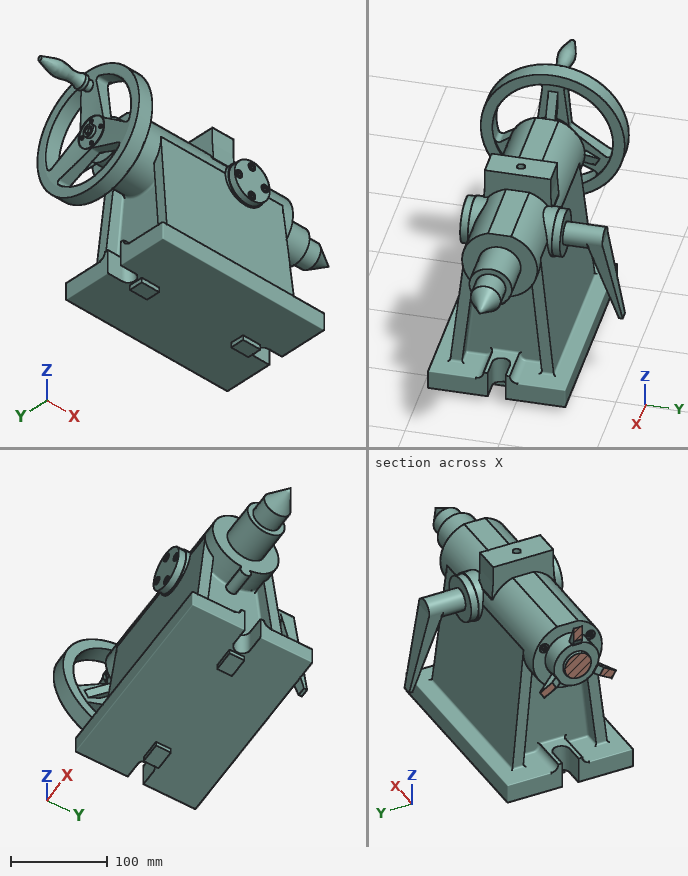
import cadquery as cq
import math


BASE_LENGTH = 230.0
BASE_WIDTH = 146.0
BASE_HEIGHT = 22.0
BASE_EDGE_RADIUS = 1.0
RIB_HEIGHT = 8.0
RIB_TOP_WIDTH = 28.0
SLOT_WIDTH = 19.0
SLOT_CENTER_INSET = 20.0
TONGUE_LENGTH = 24.5
TONGUE_WIDTH = 18.0
TONGUE_HEIGHT = 6.0
TONGUE_OFFSET = 72.0

COLUMN_TOP_Z = 164.0
COLUMN_FOOT_LENGTH = 182.0
COLUMN_TOP_LENGTH = 173.0
COLUMN_FOOT_WIDTH = 110.0
COLUMN_TOP_WIDTH = 79.7
FOOT_FILLET = 2.4
WALL_THICKNESS = 12.5
SELECTION_MARGIN = 0.1
WEB_HALF_LENGTH = 73.0

AXIS_Z = 160.0
BARREL_RADIUS = 40.0
BARREL_START_X = -108.5
BARREL_END_X = 101.5
BARREL_FLAT_WIDTH = 24.5
SCREW_BOSS_DIAMETER = 13.0
SCREW_BOSS_BOTTOM_Z = 110.0
SPINDLE_DIAMETER = 45.0
SPINDLE_END_X = 141.5
CENTER_DIAMETER = 32.0
CENTER_SHOULDER_X = 163.5
CENTER_TIP_X = 190.0

FLANGE_DIAMETER = 52.0
FLANGE_START_X = -128.5
FLANGE_SCREW_RADIUS = 31.0
FLANGE_SCREW_DIAMETER = 10.0
FLANGE_SCREW_ANGLES = (30, 150, 270)

BLOCK_CENTER_X = 6.5
BLOCK_LENGTH = 30.0
BLOCK_TOP_Z = 218.5
BLOCK_TAPER_Z = 198.0
BLOCK_BOTTOM_Z = 178.0
BLOCK_TOP_WIDTH = 70.0
BLOCK_BOTTOM_WIDTH = 73.0
BLOCK_HOLE_DIAMETER = 8.5
BLOCK_HOLE_DEPTH = 15.0
DRILL_TIP_RADIUS = 0.2

CROSS_X = 31.0
CROSS_BOSS_DIAMETER = 52.0
CROSS_BOSS_REACH = 44.5
CAP_DIAMETER = 50.0
CAP_REACH = 53.0
CAP_SCREW_DIAMETER = 9.08
CAP_SCREW_CIRCLE_RADIUS = 18.5
CAP_SCREW_ANGLES = (0, 90, 180, 270)
LEVER_SHAFT_DIAMETER = 24.5
LEVER_SHAFT_END_Y = 95.0
LEVER_TOP_THICKNESS = 17.0
LEVER_TIP_Y = 115.0
LEVER_TIP_Z = 65.0
LEVER_TIP_THICKNESS = 4.0
LEVER_TIP_WIDTH = 10.6

SCREW_SINK = 1.0
SOCKET_DEPTH = 3.0
SOCKET_RATIO = 0.6

WHEEL_RADIUS = 76.5
WHEEL_START_X = -152.0
WHEEL_END_X = -133.0
RIM_LIP_RADIUS = 64.0
RIM_INNER_RADIUS = 66.5
RIM_LIP_THICKNESS = 4.0
SPOKE_ANGLES = (90, 210, 330)
SPOKE_HUB_START_X = -147.0
SPOKE_END_X = -135.0
SPOKE_ROOT_HALF_WIDTH = 18.5
SPOKE_TIP_HALF_WIDTH = 10.5
SPOKE_CORNER_RADIUS = 4.0
BRACE_WIDTH = 10.0
BRACE_FOOT_END_X = -122.0
BRACE_FOOT_START_X = -129.5
BRACE_OUTER_RADIUS = 50.0
BRACE_INNER_RADIUS = 34.0
HUB_DISC_DIAMETER = 38.0
HUB_DISC_START_X = -148.0
HUB_DIAMETER = 31.0
HUB_PIN_HOLE_DIAMETER = 4.13
HUB_PIN_HOLE_RADIUS = 14.0
HUB_PIN_HOLE_ANGLES = (0, 90, 180, 270)
HUB_PIN_HOLE_DEPTH = 4.0
HUB_SCREW_DIAMETER = 14.73
HUB_SCREW_HEIGHT = 4.0
HUB_SOCKET_DIAMETER = 10.0

HANDLE_RADIUS = 57.6
HANDLE_TIP_X = -220.5
HANDLE_TIP_RADIUS = 2.8
HANDLE_TAPER_X = -210.0
HANDLE_TAPER_RADIUS = 6.0
HANDLE_BELLY_X = -194.0
HANDLE_BELLY_RADIUS = 9.2
HANDLE_NECK_X = -175.0
HANDLE_NECK_RADIUS = 6.5
HANDLE_COLLAR_START_X = -164.0
HANDLE_COLLAR_END_X = -159.5
HANDLE_COLLAR_RADIUS = 9.0


def cylinder_x(start_x, end_x, diameter, y=0.0, z=AXIS_Z):
    """Cylinder parallel to X between two X positions."""
    return (
        cq.Workplane("YZ", origin=(start_x, y, z))
        .circle(diameter / 2)
        .extrude(end_x - start_x)
    )


def cylinder_y(start_y, end_y, diameter, x=CROSS_X, z=AXIS_Z):
    """Cylinder parallel to Y between two Y positions."""
    return (
        cq.Workplane("XZ", origin=(x, start_y, z))
        .circle(diameter / 2)
        .extrude(start_y - end_y)
    )


def column_half_width(z):
    """Half width of the tapered column at height z."""
    fraction = (z - BASE_HEIGHT) / (COLUMN_TOP_Z - BASE_HEIGHT)
    return (COLUMN_FOOT_WIDTH + fraction * (COLUMN_TOP_WIDTH - COLUMN_FOOT_WIDTH)) / 2


def trapezoid(foot_half, top_half, top_z):
    """Corners of a trapezoid standing on the base plate."""
    return [(-foot_half, BASE_HEIGHT), (foot_half, BASE_HEIGHT), (top_half, top_z), (-top_half, top_z)]


def polar(radius, angle):
    """Point at a radius and an angle in degrees."""
    return radius * math.cos(math.radians(angle)), radius * math.sin(math.radians(angle))


def make_rib():
    """Central rib along the base plate with flared flanks."""
    rib_top_z = BASE_HEIGHT + RIB_HEIGHT
    half = RIB_TOP_WIDTH / 2
    foot_half = half + RIB_HEIGHT
    return (
        cq.Workplane("YZ", origin=(-BASE_LENGTH / 2, 0, 0))
        .moveTo(-foot_half, BASE_HEIGHT - BASE_EDGE_RADIUS)
        .lineTo(-foot_half, BASE_HEIGHT)
        .radiusArc((-half, rib_top_z), -RIB_HEIGHT)
        .lineTo(half, rib_top_z)
        .radiusArc((foot_half, BASE_HEIGHT), -RIB_HEIGHT)
        .lineTo(foot_half, BASE_HEIGHT - BASE_EDGE_RADIUS)
        .close()
        .extrude(BASE_LENGTH)
    )


def make_column():
    """Tapered column with a recess below the barrel at each end, leaving a web between."""
    side_shape = (
        cq.Workplane("XZ", origin=(0, COLUMN_FOOT_WIDTH / 2, 0))
        .polyline(trapezoid(COLUMN_FOOT_LENGTH / 2, COLUMN_TOP_LENGTH / 2, COLUMN_TOP_Z))
        .close()
        .extrude(COLUMN_FOOT_WIDTH)
    )
    end_shape = (
        cq.Workplane("YZ", origin=(-COLUMN_FOOT_LENGTH / 2, 0, 0))
        .polyline(trapezoid(COLUMN_FOOT_WIDTH / 2, COLUMN_TOP_WIDTH / 2, COLUMN_TOP_Z))
        .close()
        .extrude(COLUMN_FOOT_LENGTH)
    )
    column = side_shape.intersect(end_shape)
    foot_half = column_half_width(BASE_HEIGHT) - WALL_THICKNESS
    top_half = column_half_width(AXIS_Z) - WALL_THICKNESS
    recess = (
        cq.Workplane("YZ", origin=(WEB_HALF_LENGTH, 0, 0))
        .polyline(trapezoid(foot_half, top_half, AXIS_Z))
        .close()
        .extrude(COLUMN_FOOT_LENGTH)
        .cut(cylinder_x(0, 2 * COLUMN_FOOT_LENGTH, 2 * BARREL_RADIUS))
        .cut(make_rib())
    )
    recess = recess.solids("<Z")
    wall_feet = recess.faces("<Z").edges("<Y or >Y")
    recess = recess.faces("<X").edges().add(wall_feet).fillet(FOOT_FILLET)
    return column.cut(recess).cut(recess.mirror("YZ"))


def make_base_with_column():
    """Base plate, central rib with flared flanks, column and the foot fillets."""
    plate = (
        cq.Workplane("XY")
        .box(BASE_LENGTH, BASE_WIDTH, BASE_HEIGHT, centered=(True, True, False))
        .edges()
        .fillet(BASE_EDGE_RADIUS)
    )
    body = plate.union(make_column())
    inner_limit = COLUMN_FOOT_WIDTH / 2 - WALL_THICKNESS - 2 * FOOT_FILLET
    for side in (-1, 1):
        wall_foot = cq.selectors.BoxSelector(
            (-BASE_LENGTH / 2, side * inner_limit, BASE_HEIGHT - SELECTION_MARGIN),
            (BASE_LENGTH / 2, side * (COLUMN_FOOT_WIDTH / 2 + SELECTION_MARGIN), BASE_HEIGHT + SELECTION_MARGIN),
            boundingbox=True,
        )
        body = body.edges(wall_foot).fillet(FOOT_FILLET)
    return body.union(make_rib())


def cut_base_slots(body):
    """Open clamping slot in each end of the base."""
    slot_height = BASE_HEIGHT + RIB_HEIGHT
    center_x = BASE_LENGTH / 2 - SLOT_CENTER_INSET
    for side in (-1, 1):
        round_end = cq.Workplane("XY").center(side * center_x, 0).circle(SLOT_WIDTH / 2).extrude(slot_height)
        mouth = (
            cq.Workplane("XY")
            .center(side * (center_x + SLOT_CENTER_INSET / 2), 0)
            .rect(SLOT_CENTER_INSET, SLOT_WIDTH)
            .extrude(slot_height)
        )
        body = body.cut(round_end.union(mouth))
    return body


def make_tongues():
    """Two guide tongues under the base."""
    return (
        cq.Workplane("XY")
        .pushPoints([(-TONGUE_OFFSET, 0), (TONGUE_OFFSET, 0)])
        .rect(TONGUE_LENGTH, TONGUE_WIDTH)
        .extrude(-TONGUE_HEIGHT)
    )


def make_barrel():
    """Barrel with a flat along its top and a screw boss beneath its front end."""
    flat_z = AXIS_Z + math.sqrt(BARREL_RADIUS**2 - (BARREL_FLAT_WIDTH / 2) ** 2)
    barrel = cylinder_x(BARREL_START_X, BARREL_END_X, 2 * BARREL_RADIUS)
    above_flat = (
        cq.Workplane("XY", origin=(0, 0, flat_z))
        .rect(2 * BASE_LENGTH, BARREL_FLAT_WIDTH)
        .extrude(BARREL_RADIUS)
    )
    boss_z = SCREW_BOSS_BOTTOM_Z + SCREW_BOSS_DIAMETER / 2
    boss = cylinder_x(0, BARREL_END_X, SCREW_BOSS_DIAMETER, z=boss_z)
    return barrel.cut(above_flat).union(boss)


def make_spindle():
    """Spindle sleeve and pointed centre."""
    sleeve_radius = SPINDLE_DIAMETER / 2
    center_radius = CENTER_DIAMETER / 2
    return (
        cq.Workplane("XZ", origin=(0, 0, AXIS_Z))
        .moveTo(0, 0)
        .lineTo(0, sleeve_radius)
        .lineTo(SPINDLE_END_X, sleeve_radius)
        .lineTo(SPINDLE_END_X, center_radius)
        .lineTo(CENTER_SHOULDER_X, center_radius)
        .lineTo(CENTER_TIP_X, 0)
        .close()
        .revolve(360, (0, 0, 0), (1, 0, 0))
    )


def make_clamp_block():
    """Block across the top of the barrel, flaring below its middle, with a blind hole."""
    top_half = BLOCK_TOP_WIDTH / 2
    bottom_half = BLOCK_BOTTOM_WIDTH / 2
    block = (
        cq.Workplane("YZ", origin=(BLOCK_CENTER_X - BLOCK_LENGTH / 2, 0, 0))
        .polyline([
            (-bottom_half, BLOCK_BOTTOM_Z),
            (bottom_half, BLOCK_BOTTOM_Z),
            (top_half, BLOCK_TAPER_Z),
            (top_half, BLOCK_TOP_Z),
            (-top_half, BLOCK_TOP_Z),
            (-top_half, BLOCK_TAPER_Z),
        ])
        .close()
        .extrude(BLOCK_LENGTH)
    )
    hole = (
        cq.Workplane("XY", origin=(BLOCK_CENTER_X, 0, BLOCK_TOP_Z))
        .circle(BLOCK_HOLE_DIAMETER / 2)
        .extrude(-BLOCK_HOLE_DEPTH)
    )
    hole_bottom = hole.faces("<Z").workplane(centerOption="CenterOfMass").circle(BLOCK_HOLE_DIAMETER / 2)
    drill_point = hole_bottom.workplane(offset=BLOCK_HOLE_DIAMETER / 3).circle(DRILL_TIP_RADIUS).loft(combine=False)
    return block.cut(hole).cut(drill_point)


def cut_sunk_screw(body, face, head_diameter):
    """Sunk socket-head screw; face is a workplane at the screw whose normal points into the body."""
    body = body.cut(face.circle(head_diameter / 2).extrude(SCREW_SINK))
    return body.cut(face.polygon(6, SOCKET_RATIO * head_diameter).extrude(SCREW_SINK + SOCKET_DEPTH))


def make_cross_bosses():
    """Boss and bolted cap on both sides of the barrel."""
    bosses = cylinder_y(-CROSS_BOSS_REACH, CROSS_BOSS_REACH, CROSS_BOSS_DIAMETER)
    caps = cylinder_y(-CAP_REACH, CAP_REACH, CAP_DIAMETER)
    return bosses.union(caps)


def cut_cap_screws(body):
    """Four screws in the cap on the -Y side."""
    for angle in CAP_SCREW_ANGLES:
        dx, dz = polar(CAP_SCREW_CIRCLE_RADIUS, angle)
        plane = cq.Plane(origin=(CROSS_X + dx, -CAP_REACH, AXIS_Z + dz), xDir=(1, 0, 0), normal=(0, 1, 0))
        body = cut_sunk_screw(body, cq.Workplane(plane), CAP_SCREW_DIAMETER)
    return body


def make_lever():
    """Clamping lever: a shaft out of the back cap and a tapered arm leaning away downwards."""
    shaft = cylinder_y(0, LEVER_SHAFT_END_Y, LEVER_SHAFT_DIAMETER)
    top_y = LEVER_SHAFT_END_Y - LEVER_TOP_THICKNESS / 2
    tip_y = LEVER_TIP_Y - LEVER_TIP_THICKNESS / 2
    arm = (
        cq.Workplane("XY", origin=(CROSS_X, top_y, AXIS_Z))
        .rect(LEVER_SHAFT_DIAMETER, LEVER_TOP_THICKNESS)
        .workplane(offset=LEVER_TIP_Z - AXIS_Z)
        .center(0, tip_y - top_y)
        .rect(LEVER_TIP_WIDTH, LEVER_TIP_THICKNESS)
        .loft(ruled=True)
    )
    return shaft.union(arm)


def cut_flange_screws(body):
    """Three screws in the barrel end face around the bearing flange."""
    for angle in FLANGE_SCREW_ANGLES:
        dy, dz = polar(FLANGE_SCREW_RADIUS, angle)
        face = cq.Workplane("YZ", origin=(BARREL_START_X, dy, AXIS_Z + dz))
        body = cut_sunk_screw(body, face, FLANGE_SCREW_DIAMETER)
    return body


def make_spokes():
    """Three spokes that narrow outwards, flat behind and dished in front, with rounded corners at the rim."""
    tip_radius = RIM_INNER_RADIUS
    disc = (
        cq.Workplane("XZ", origin=(0, 0, AXIS_Z))
        .moveTo(SPOKE_HUB_START_X, 0)
        .lineTo(SPOKE_HUB_START_X, HUB_DISC_DIAMETER / 2)
        .lineTo(WHEEL_START_X, tip_radius)
        .lineTo(SPOKE_END_X, tip_radius)
        .lineTo(SPOKE_END_X, 0)
        .close()
        .revolve(360, (0, 0, 0), (1, 0, 0))
    )
    windows = cylinder_x(WHEEL_START_X, SPOKE_END_X, 2 * RIM_LIP_RADIUS)
    for angle in SPOKE_ANGLES:
        spoke = (
            cq.Workplane("YZ", origin=(WHEEL_START_X, 0, AXIS_Z))
            .transformed(rotate=(0, 0, angle))
            .polyline([
                (0, -SPOKE_ROOT_HALF_WIDTH),
                (tip_radius, -SPOKE_TIP_HALF_WIDTH),
                (2 * tip_radius, -SPOKE_TIP_HALF_WIDTH),
                (2 * tip_radius, SPOKE_TIP_HALF_WIDTH),
                (tip_radius, SPOKE_TIP_HALF_WIDTH),
                (0, SPOKE_ROOT_HALF_WIDTH),
            ])
            .close()
            .extrude(SPOKE_END_X - WHEEL_START_X)
        )
        windows = windows.cut(spoke)
    windows = windows.cut(cylinder_x(WHEEL_START_X, WHEEL_END_X, HUB_DISC_DIAMETER))
    return disc.cut(windows.edges("|X").fillet(SPOKE_CORNER_RADIUS))


def make_braces():
    """Slanted brace behind each spoke, running inwards to the bearing flange."""
    slope = (BRACE_FOOT_END_X - WHEEL_END_X) / (BRACE_OUTER_RADIUS - FLANGE_DIAMETER / 2)
    run_in = (WHEEL_END_X - SPOKE_END_X) / slope
    foot = FLANGE_DIAMETER / 2 - 1
    profile = [
        (SPOKE_END_X, BRACE_OUTER_RADIUS + run_in),
        (BRACE_FOOT_END_X, FLANGE_DIAMETER / 2),
        (BRACE_FOOT_END_X, foot),
        (BRACE_FOOT_START_X, foot),
        (SPOKE_END_X, BRACE_INNER_RADIUS + run_in),
    ]
    brace = (
        cq.Workplane("XZ", origin=(0, BRACE_WIDTH / 2, AXIS_Z))
        .polyline(profile)
        .close()
        .extrude(BRACE_WIDTH)
    )
    braces = cq.Workplane("XY")
    for angle in SPOKE_ANGLES:
        braces = braces.union(brace.rotate((0, 0, AXIS_Z), (1, 0, AXIS_Z), angle - SPOKE_ANGLES[0]))
    return braces


def make_hub():
    """Hub with a face disc, pin holes and a central socket screw."""
    hub = cylinder_x(HUB_DISC_START_X, FLANGE_START_X, HUB_DIAMETER)
    hub = hub.union(cylinder_x(HUB_DISC_START_X, SPOKE_END_X, HUB_DISC_DIAMETER))
    for angle in HUB_PIN_HOLE_ANGLES:
        dy, dz = polar(HUB_PIN_HOLE_RADIUS, angle)
        hole_end_x = HUB_DISC_START_X + HUB_PIN_HOLE_DEPTH
        hub = hub.cut(cylinder_x(HUB_DISC_START_X, hole_end_x, HUB_PIN_HOLE_DIAMETER, dy, AXIS_Z + dz))
    screw_start_x = HUB_DISC_START_X - HUB_SCREW_HEIGHT
    screw = cylinder_x(screw_start_x, HUB_DISC_START_X, HUB_SCREW_DIAMETER)
    socket = (
        cq.Workplane("YZ", origin=(screw_start_x, 0, AXIS_Z))
        .polygon(6, HUB_SOCKET_DIAMETER)
        .extrude(SOCKET_DEPTH)
    )
    return hub.union(screw).cut(socket)


def make_handle():
    """Turned handle standing out from the upper spoke, parallel to the axis."""
    return (
        cq.Workplane("XZ", origin=(0, 0, AXIS_Z + HANDLE_RADIUS))
        .moveTo(HANDLE_TIP_X, 0)
        .lineTo(HANDLE_TIP_X, HANDLE_TIP_RADIUS)
        .spline(
            [
                (HANDLE_TAPER_X, HANDLE_TAPER_RADIUS),
                (HANDLE_BELLY_X, HANDLE_BELLY_RADIUS),
                (HANDLE_NECK_X, HANDLE_NECK_RADIUS),
                (HANDLE_COLLAR_START_X, HANDLE_COLLAR_RADIUS),
            ],
            includeCurrent=True,
        )
        .lineTo(HANDLE_COLLAR_END_X, HANDLE_COLLAR_RADIUS)
        .lineTo(HANDLE_COLLAR_END_X, HANDLE_NECK_RADIUS)
        .lineTo(SPOKE_END_X, HANDLE_NECK_RADIUS)
        .lineTo(SPOKE_END_X, 0)
        .close()
        .revolve(360, (0, 0, 0), (1, 0, 0))
    )


def make_handwheel():
    """Rim with an inner lip at the back, spokes, braces, hub and handle."""
    rim = cylinder_x(WHEEL_START_X, WHEEL_END_X, 2 * WHEEL_RADIUS)
    rim = rim.cut(cylinder_x(WHEEL_START_X, WHEEL_END_X, 2 * RIM_LIP_RADIUS))
    rim = rim.cut(cylinder_x(WHEEL_START_X, WHEEL_END_X - RIM_LIP_THICKNESS, 2 * RIM_INNER_RADIUS))
    wheel = rim.union(make_spokes()).union(make_braces())
    return wheel.union(make_hub()).union(make_handle())


body = cut_base_slots(make_base_with_column())
body = body.union(make_tongues()).union(make_barrel()).union(make_spindle())
body = body.union(make_clamp_block()).union(make_cross_bosses()).union(make_lever())
body = body.union(cylinder_x(FLANGE_START_X, BARREL_START_X, FLANGE_DIAMETER))
body = cut_flange_screws(cut_cap_screws(body))

result = body.union(make_handwheel())